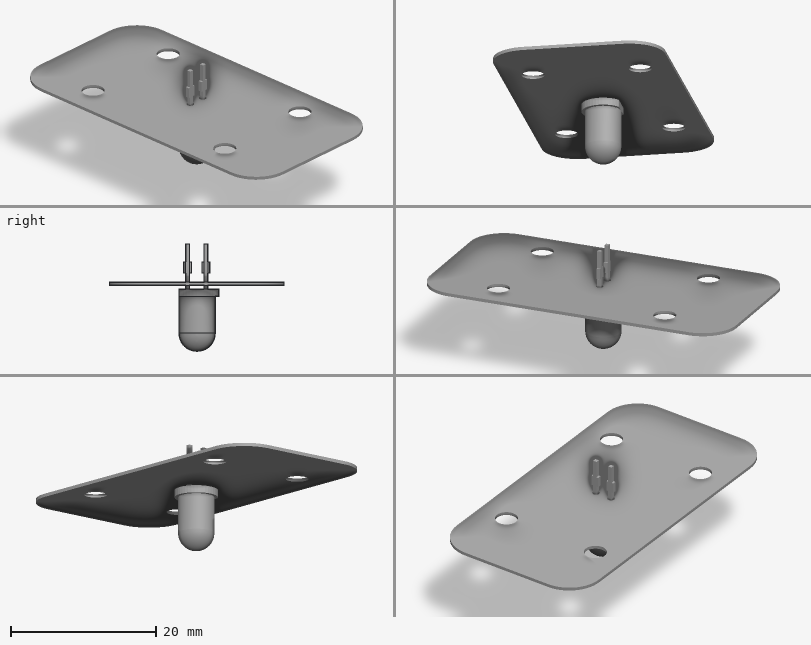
import cadquery as cq
import math

OVERALL_HEIGHT = 14.75

PLATE_LENGTH = 46.0
PLATE_WIDTH = 24.0
PLATE_THICKNESS = 0.45
CORNER_RADIUS = 5.0
MOUNT_HOLE_DIAMETER = 3.17
MOUNT_SPACING_X = 25.0
MOUNT_SPACING_Y = 15.0
LEAD_HOLE_DIAMETER = 1.0

LAMP_GAP = 0.5
FLANGE_DIAMETER = 6.0
FLANGE_THICKNESS = 1.0
FLANGE_SIDES = 40
LENS_DIAMETER = 5.0
LAMP_CENTER_Y = 0.05

LEAD_SPACING = 2.55
LEAD_SIDE = 0.55
LEAD_ABOVE_PLATE = 5.25
TAB_HEIGHT = 1.5
TAB_PROJECTION = 0.28
TAB_BELOW_LEAD_TOP = 2.5

lens_radius = LENS_DIAMETER / 2
flange_top = -LAMP_GAP
lens_top = flange_top - FLANGE_THICKNESS
lead_top = PLATE_THICKNESS + LEAD_ABOVE_PLATE
dome_top = lead_top - OVERALL_HEIGHT + lens_radius
tab_bottom = lead_top - TAB_BELOW_LEAD_TOP - TAB_HEIGHT
lead_places = [-LEAD_SPACING / 2, LEAD_SPACING / 2]


def make_plate():
    """Rounded plate with four mounting holes and two clearance holes for the leads."""
    plate = cq.Workplane("XY").rect(PLATE_LENGTH, PLATE_WIDTH).extrude(PLATE_THICKNESS)
    plate = plate.edges("|Z").fillet(CORNER_RADIUS)
    top = plate.faces(">Z").workplane(origin=(0, 0, PLATE_THICKNESS))
    plate = top.rarray(MOUNT_SPACING_X, MOUNT_SPACING_Y, 2, 2).hole(MOUNT_HOLE_DIAMETER)
    top = plate.faces(">Z").workplane(origin=(0, 0, PLATE_THICKNESS))
    return top.pushPoints([(0, y) for y in lead_places]).hole(LEAD_HOLE_DIAMETER)


def make_flange():
    """Many-sided rim, cut flat on -Y in line with the side of the barrel."""
    rim = cq.Workplane("XY", origin=(0, LAMP_CENTER_Y, lens_top))
    rim = rim.polygon(FLANGE_SIDES, FLANGE_DIAMETER).extrude(FLANGE_THICKNESS)
    keep_width = FLANGE_DIAMETER / 2 + lens_radius
    keep = cq.Workplane("XY", origin=(0, LAMP_CENTER_Y - lens_radius, lens_top)).box(
        FLANGE_DIAMETER, keep_width, FLANGE_THICKNESS, centered=(True, False, False)
    )
    return rim.intersect(keep)


def make_barrel():
    """Straight round part of the lamp, under the flange."""
    barrel = cq.Workplane("XY", origin=(0, LAMP_CENTER_Y, dome_top))
    return barrel.circle(lens_radius).extrude(lens_top - dome_top)


def make_dome():
    """Hemisphere that closes the bottom of the barrel."""
    diagonal = lens_radius * math.sqrt(0.5)
    profile = (
        cq.Workplane("XZ", origin=(0, LAMP_CENTER_Y, 0))
        .moveTo(0, dome_top)
        .lineTo(lens_radius, dome_top)
        .threePointArc((diagonal, dome_top - diagonal), (0, dome_top - lens_radius))
        .close()
    )
    return profile.revolve(360, (0, 0, 0), (0, 1, 0))


def make_lead(y):
    """Square lead standing on the flange and passing through the plate."""
    lead = cq.Workplane("XY", origin=(0, y, flange_top))
    return lead.rect(LEAD_SIDE, LEAD_SIDE).extrude(lead_top - flange_top)


def make_tab(lead_y, side):
    """Block against the +Y (side = 1) or -Y (side = -1) face of a lead."""
    tab_y = lead_y + side * (LEAD_SIDE + TAB_PROJECTION) / 2
    tab = cq.Workplane("XY", origin=(0, tab_y, tab_bottom))
    return tab.rect(LEAD_SIDE, TAB_PROJECTION).extrude(TAB_HEIGHT)


plate = make_plate()
flange = make_flange()
barrel = make_barrel()
dome = make_dome()
leads = [make_lead(y).val() for y in lead_places]
tabs = [make_tab(y, side).val() for y in lead_places for side in (-1, 1)]

result = cq.Compound.makeCompound(
    [plate.val(), flange.val(), barrel.val(), dome.val(), *leads, *tabs]
)